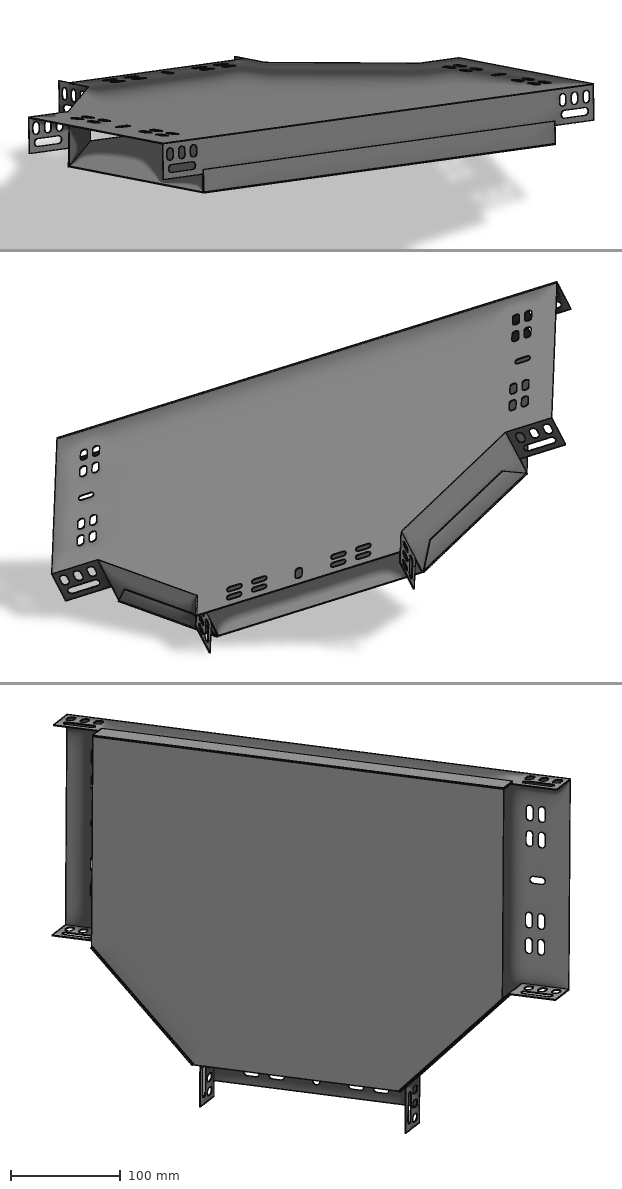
import cadquery as cq
import math


run_length = 492.5
tray_width = 202.0
tab_length = 45.0
tab_depth = 33.5
wall_depth = 50.0
sheet = 1.0
branch_floor_length = 30.0

lip_height = 20.5

slot_length = 15.0
slot_width = 6.5
slot_rows = (27.5, 39.5)
slot_offsets = (-63.5, -39.0, 39.0, 63.5)
centre_slot_row = 31.5

tab_slot_width = 7.0
short_slot_length = 11.5
short_slot_depth = 11.0
short_slot_first = 8.0
short_slot_pitch = 13.5
long_slot_length = 31.0
long_slot_depth = 24.5

tilt_x = -28.9
tilt_y = 19.3
tilt_z = 61.2
floor_edge_middle = (108.5, -20.0, 69.5)

half_run = run_length / 2
half_width = tray_width / 2
corner_x = half_run - tab_length
corner_run = corner_x - half_width
branch_y = tray_width + corner_run
branch_tip_y = branch_y + tab_length
inner_width = tray_width - 2 * sheet


def box(x_range, y_range, z_range):
    """Box spanning the given (low, high) ranges."""
    size = [high - low for low, high in (x_range, y_range, z_range)]
    return cq.Workplane().box(*size, centered=False).translate((x_range[0], y_range[0], z_range[0]))


def both_ends(shape):
    """The shape and its mirror image at the other end of the run."""
    return shape.union(shape.mirror("YZ"))


def tray_shell():
    """Floor with side walls, open at the three ends, with shallower walls at the tabs."""
    outline = [
        (-half_run, 0), (half_run, 0), (half_run, tray_width), (corner_x, tray_width),
        (half_width, branch_y), (half_width, branch_tip_y),
        (-half_width, branch_tip_y), (-half_width, branch_y),
        (-corner_x, tray_width), (-half_run, tray_width),
    ]
    shell = cq.Workplane().polyline(outline).close().extrude(-wall_depth)
    cavity = (
        cq.Workplane().workplane(offset=-sheet).polyline(outline).close()
        .offset2D(-sheet, "intersection").extrude(-wall_depth)
    )
    inside_z = (-wall_depth, -sheet)
    below_tabs_z = (-wall_depth, -tab_depth)
    inner_x = (-inner_width / 2, inner_width / 2)

    run_opening = box((corner_x, half_run), (sheet, tray_width - sheet), inside_z)
    run_relief = box((corner_x, half_run), (0, tray_width), below_tabs_z)
    branch_opening = box(inner_x, (branch_y, branch_tip_y), inside_z)
    branch_relief = box((-half_width, half_width), (branch_y, branch_tip_y), below_tabs_z)
    floor_trim = box(inner_x, (branch_y + branch_floor_length, branch_tip_y), (-sheet, 0))
    return (
        shell.cut(cavity).cut(both_ends(run_opening)).cut(both_ends(run_relief))
        .cut(branch_opening).cut(branch_relief).cut(floor_trim)
    )


def end_slots():
    """Cutters of one open end's floor slots: its tip plane on X = 0, the tray towards -X."""
    pairs = [(-row, offset) for row in slot_rows for offset in slot_offsets]
    across = cq.Workplane().pushPoints(pairs).slot2D(slot_length, slot_width, 90)
    along = cq.Workplane().center(-centre_slot_row, 0).slot2D(slot_length, slot_width)
    return across.extrude(-sheet).union(along.extrude(-sheet))


def tab_slots():
    """Cutters through both tabs of one open end: its tip plane on X = 0, the tray towards -X."""
    places = [-short_slot_first - i * short_slot_pitch for i in range(3)]
    side = cq.Workplane("XZ", origin=(0, half_width, 0))
    short = side.pushPoints([(x, -short_slot_depth) for x in places])
    short = short.slot2D(short_slot_length, tab_slot_width, 90).extrude(tray_width)
    long = side.center(places[1], -long_slot_depth)
    long = long.slot2D(long_slot_length, tab_slot_width).extrude(tray_width)
    return short.union(long)


def make_tray():
    end_cutters = end_slots().union(tab_slots())
    run_cutters = end_cutters.translate((half_run, half_width, 0))
    branch_cutters = end_cutters.rotate((0, 0, 0), (0, 0, 1), 90).translate((0, branch_tip_y, 0))
    return tray_shell().cut(both_ends(run_cutters)).cut(branch_cutters)


def diagonal_lip():
    """Lip outside one diagonal wall, mitred at 45 degrees at both ends."""
    length = corner_run * math.sqrt(2)
    height = lip_height + sheet
    profile = [(0, 0), (length, 0), (length - height, height), (height, height)]
    wall_foot = cq.Plane(
        origin=(corner_x, tray_width, -wall_depth - sheet), xDir=(-1, 1, 0), normal=(1, 1, 0)
    )
    return cq.Workplane(wall_foot).polyline(profile).close().extrude(sheet)


def make_cover():
    """Flat sheet closing the wall edges, with lips outside the back and diagonal walls."""
    outline = [
        (-corner_x, -sheet), (corner_x, -sheet), (corner_x, tray_width),
        (half_width, branch_y), (-half_width, branch_y), (-corner_x, tray_width),
    ]
    plate = cq.Workplane().workplane(offset=-wall_depth).polyline(outline).close().extrude(-sheet)
    lip_z = (-wall_depth - sheet, lip_height - wall_depth)
    back_lip = box((-corner_x, corner_x), (-sheet, 0), lip_z)
    return plate.union(back_lip).union(both_ends(diagonal_lip()))


def place(body):
    """Tilt a body about X, Y and Z in turn and move it to its place."""
    origin = (0, 0, 0)
    tilted = body.rotate(origin, (1, 0, 0), tilt_x).rotate(origin, (0, 1, 0), tilt_y)
    return tilted.rotate(origin, (0, 0, 1), tilt_z).translate(floor_edge_middle).solids()


tray = place(make_tray())
cover = place(make_cover())

result = cq.Compound.makeCompound([tray.val(), cover.val()])